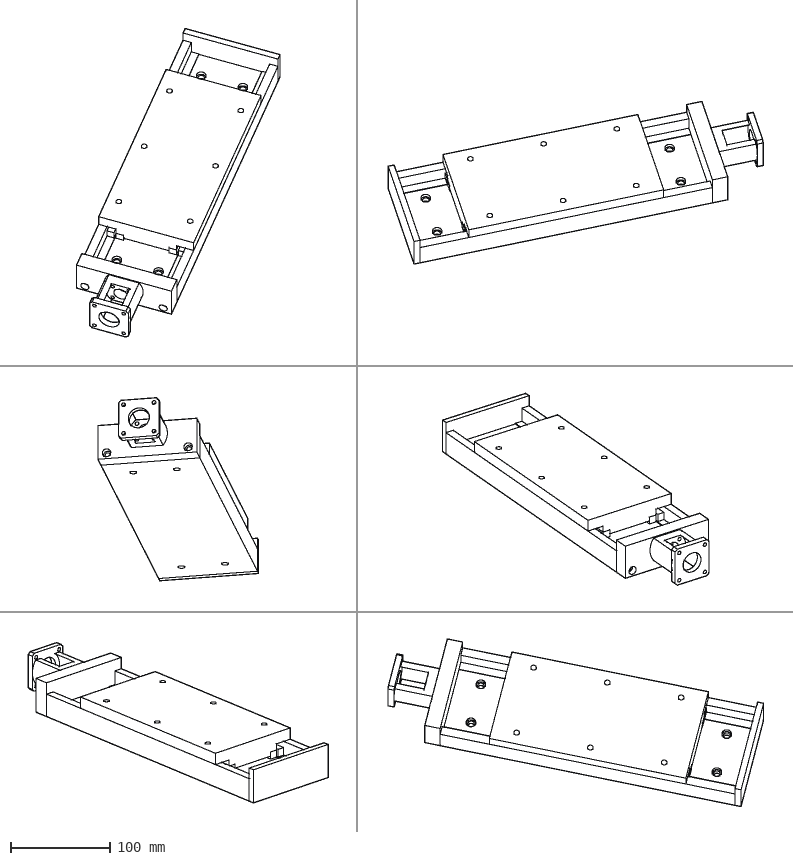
import cadquery as cq
slide_width = 101.5
overall_length = 372.0

base_length = 304.8
base_height = 24.5
wall_thickness = 9.0
ledge_outer_offset = 17.0
floor_height = 9.0
ledge_height = 9.5
base_hole_diameter = 6.7
base_counterbore_diameter = 9.5
base_counterbore_depth = 3.7
base_hole_spacing_x = 44.5
base_hole_end_distance = 25.3

rear_plate_thickness = 6.5
rear_plate_height = 36.0
front_block_thickness = 16.0
front_block_height = 37.0
block_hole_diameter = 5.2
block_counterbore_diameter = 8.5
block_counterbore_depth = 6.5
block_hole_side_distance = 9.0
block_hole_height = 6.5

carriage_length = 203.0
carriage_top = 37.0
keel_width = 64.7
keel_bottom = 13.5
carriage_hole_diameter = 5.5
carriage_hole_spacing = 76.3

rail_top = 18.0
moving_rail_bottom = 10.0
moving_rail_width = 8.2
fixed_rail_width = 7.5

flange_side = 41.3
flange_thickness = 6.5
flange_corner = 2.5
flange_hole_spacing = 31.3
flange_hole_diameter = 3.7
barrel_flat_height = 25.5
flange_top = 43.5
motor_bore_diameter = 21.5
shaft_hole_diameter = 14.5
cavity_diameter = 32.0
cavity_length = 28.5
mount_hole_diameter = 3.7
mount_hole_spacing = 17.0

motor_axis_height = flange_top - flange_side / 2
half_width = slide_width / 2
base_front = -base_length / 2
base_rear = base_length / 2
block_front = base_front - front_block_thickness
mount_length = overall_length - base_length - rear_plate_thickness - front_block_thickness
flange_front = block_front - mount_length
flange_rear = flange_front + flange_thickness
cavity_rear = flange_rear + cavity_length
wall_inner = half_width - wall_thickness
ledge_inner = half_width - ledge_outer_offset
keel_side = keel_width / 2
carriage_range = (-carriage_length / 2, carriage_length / 2)


def block(x_range, y_range, z_range):
    """Box between two limits along each axis."""
    sizes = [high - low for low, high in (x_range, y_range, z_range)]
    corner = (x_range[0], y_range[0], z_range[0])
    return cq.Workplane("XY").box(*sizes, centered=False).translate(corner)


def rod_along_y(diameter, y_range, points):
    """Round rods parallel to Y, centred on the given (x, z) points."""
    return (
        cq.Workplane("XZ", origin=(0, y_range[1], 0))
        .pushPoints(points)
        .circle(diameter / 2)
        .extrude(y_range[1] - y_range[0])
    )


def rod_along_z(diameter, z_range, points):
    """Round rods parallel to Z, centred on the given (x, y) points."""
    return (
        cq.Workplane("XY", origin=(0, 0, z_range[0]))
        .pushPoints(points)
        .circle(diameter / 2)
        .extrude(z_range[1] - z_range[0])
    )


def make_base():
    """U-shaped base with a raised ledge beside each wall and four counterbored mounting holes."""
    profile = [
        (0, 0),
        (half_width, 0),
        (half_width, base_height),
        (wall_inner, base_height),
        (wall_inner, ledge_height),
        (ledge_inner, ledge_height),
        (ledge_inner, floor_height),
        (0, floor_height),
    ]
    body = (
        cq.Workplane("XZ", origin=(0, base_rear, 0))
        .polyline(profile)
        .close()
        .extrude(base_length)
        .mirror("YZ", union=True)
    )
    hole_y = base_length / 2 - base_hole_end_distance
    hole_x = base_hole_spacing_x / 2
    points = [(x, y) for x in (-hole_x, hole_x) for y in (-hole_y, hole_y)]
    counterbore_range = (floor_height - base_counterbore_depth, floor_height)
    return (
        body.cut(rod_along_z(base_hole_diameter, (0, floor_height), points))
        .cut(rod_along_z(base_counterbore_diameter, counterbore_range, points))
    )


def make_rear_plate():
    """Plain plate closing the rear end of the base."""
    y_range = (base_rear, base_rear + rear_plate_thickness)
    return block((-half_width, half_width), y_range, (0, rear_plate_height))


def make_front_block():
    """Thick end block with two counterbored screw holes low at its sides."""
    y_range = (block_front, base_front)
    hole_x = half_width - block_hole_side_distance
    points = [(-hole_x, block_hole_height), (hole_x, block_hole_height)]
    counterbore_range = (block_front, block_front + block_counterbore_depth)
    return (
        block((-half_width, half_width), y_range, (0, front_block_height))
        .cut(rod_along_y(block_hole_diameter, y_range, points))
        .cut(rod_along_y(block_counterbore_diameter, counterbore_range, points))
    )


def make_moving_rail(side):
    """Rail set in the lower corner of the carriage keel; side is -1 or 1."""
    x_range = sorted((side * (keel_side - moving_rail_width), side * keel_side))
    return block(x_range, carriage_range, (moving_rail_bottom, rail_top))


def make_fixed_rail(side):
    """Rail lying on the base ledge against the wall; side is -1 or 1."""
    x_range = sorted((side * (wall_inner - fixed_rail_width), side * wall_inner))
    return block(x_range, carriage_range, (ledge_height, rail_top))


def make_carriage(moving_rails):
    """Top plate with a keel, notched for the moving rails, and six screw holes."""
    plate = (
        block((-half_width, half_width), carriage_range, (base_height, carriage_top))
        .faces(">Z")
        .workplane(origin=(0, 0, carriage_top))
        .rarray(carriage_hole_spacing, carriage_hole_spacing, 2, 3)
        .hole(carriage_hole_diameter)
    )
    carriage = plate.union(block((-keel_side, keel_side), carriage_range, (keel_bottom, base_height)))
    for rail in moving_rails:
        carriage = carriage.cut(rail)
    return carriage


def square_points(spacing):
    """Four (x, z) points in a square around the motor axis."""
    offset = spacing / 2
    return [(x, motor_axis_height + z) for x in (-offset, offset) for z in (-offset, offset)]


def make_motor_mount():
    """Flattened barrel and flange; the round coupling cavity breaks through both flats."""
    axis = [(0, motor_axis_height)]
    flat_half = barrel_flat_height / 2
    flange_half = flange_side / 2
    flats = block(
        (-flange_half, flange_half),
        (flange_rear, block_front),
        (motor_axis_height - flat_half, motor_axis_height + flat_half),
    )
    barrel = rod_along_y(flange_side, (flange_rear, block_front), axis).intersect(flats)
    flange = (
        block(
            (-flange_half, flange_half),
            (flange_front, flange_rear),
            (motor_axis_height - flange_half, motor_axis_height + flange_half),
        )
        .edges("|Y")
        .chamfer(flange_corner)
    )
    mount_points = square_points(mount_hole_spacing)
    flange_points = square_points(flange_hole_spacing)
    return (
        barrel.union(flange)
        .cut(rod_along_y(cavity_diameter, (flange_rear, cavity_rear), axis))
        .cut(rod_along_y(motor_bore_diameter, (flange_front, flange_rear), axis))
        .cut(rod_along_y(shaft_hole_diameter, (cavity_rear, block_front), axis))
        .cut(rod_along_y(mount_hole_diameter, (cavity_rear, block_front), mount_points))
        .cut(rod_along_y(flange_hole_diameter, (flange_front, flange_rear), flange_points))
    )


base = make_base()
rear_plate = make_rear_plate()
front_block = make_front_block()
motor_mount = make_motor_mount()
moving_rails = [make_moving_rail(side) for side in (-1, 1)]
fixed_rails = [make_fixed_rail(side) for side in (-1, 1)]
carriage = make_carriage(moving_rails)

bodies = [base, rear_plate, front_block, motor_mount, carriage, *moving_rails, *fixed_rails]
result = cq.Compound.makeCompound([body.val() for body in bodies])